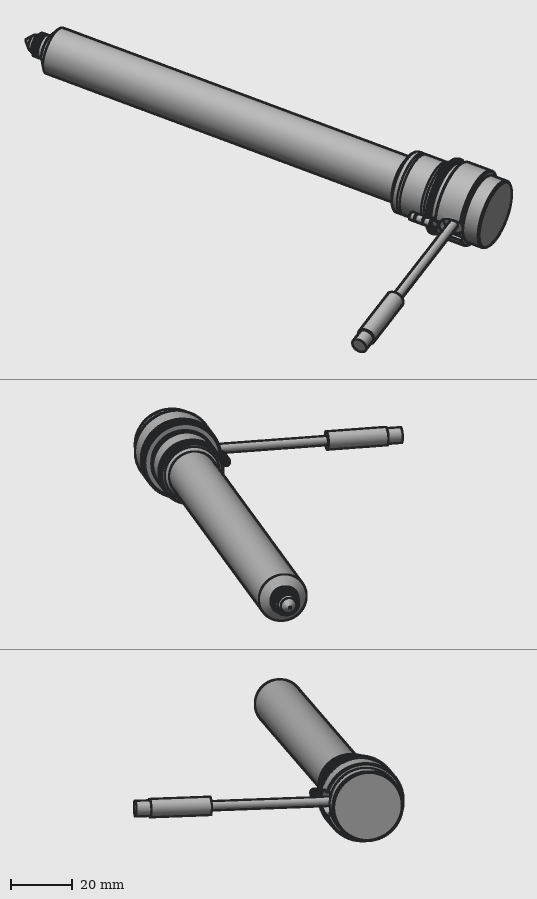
import cadquery as cq


BARREL_RADIUS = 8.0
NOSE_START = 8.1
NOSE_START_RADIUS = 4.7
NOSE_END = 10.5
BARREL_END = 139.0
POINT_RADIUS = 0.3
POINT_END = 2.2
POINT_END_RADIUS = 2.6
TAPER_END = 3.6
TIP_NECK_RADIUS = 6.4 / 2
COLLAR_START = 4.5
COLLAR_RADIUS = 8.1 / 2
COLLAR_GROOVE_STARTS = (4.8, 5.9)
COLLAR_GROOVE_WIDTH = 0.5
COLLAR_GROOVE_DEPTH = 0.2

SLEEVE_START = 140.0
SLEEVE_RADIUS = 10.5
SLEEVE_CHAMFER = 0.5
CONE_END_RADIUS = 9.2
FLANGE_START = 153.8
FLANGE_END = 155.5
HEAD_START = 157.5
HEAD_END = 166.8
HEAD_RADIUS = 13.0
FLANGE_CHAMFER = 0.5
HEAD_CHAMFER = 0.3
NECK_RADIUS = 11.8
SLEEVE_GROOVE_STARTS = (142.2, 151.0)
SLEEVE_GROOVE_WIDTH = 1.0
SLEEVE_GROOVE_DEPTH = 0.09
UNDERCUT_WIDTH = 0.5
UNDERCUT_DEPTH = 0.3

PROBE_LENGTH = 173.0
CAP_RADIUS = 11.6
CAP_CHAMFER = 0.43

LEAD_X = 163.0
CABLE_RADIUS = 1.5
PLUG_START = 50.2
PLUG_RADIUS = 6.0 / 2
PLUG_NOSE_START = 70.0
PLUG_NOSE_RADIUS = 2.6
LEAD_END = 74.9
SLOT_RADIUS = 3.8
SLOT_FLOOR = 10.9
POCKET_FLOOR = 10.0

PIN_OFFSET = 13.3
PIN_RADIUS = 1.4
PIN_START = 148.8
PIN_END = 156.5
PIN_NUB_RADIUS = 0.43
PIN_NUB_LENGTH = 0.3
PIN_CHAMFER = 0.26
PIN_GROOVE_STARTS = (150.7, 153.6)
PIN_GROOVE_WIDTH = 0.3
PIN_GROOVE_DEPTH = 0.2
LUG_END = 158.6
LUG_WIDTH = 2.8
LUG_TOP = 13.1
LUG_FLOOR = 11.8


def turned(profile):
    """Turn a closed (x, radius) outline about the X axis."""
    return cq.Workplane("XY").polyline(profile).close().revolve(360, (0, 0, 0), (1, 0, 0))


def cylinder_x(start, end, radius):
    return cq.Workplane("YZ", origin=(start, 0, 0)).circle(radius).extrude(end - start)


def cylinder_y(start, end, radius):
    """Cylinder on the lead axis, between two distances out from the probe axis."""
    return cq.Workplane("XZ", origin=(LEAD_X, -start, 0)).circle(radius).extrude(end - start)


def ring_groove(start, width, radius, depth):
    """Ring that cuts a groove of the given depth into a cylinder on the X axis."""
    outer = cylinder_x(start, start + width, radius + depth)
    return outer.cut(cylinder_x(start, start + width, radius - depth))


def make_barrel():
    barrel = turned([
        (0, 0),
        (0, POINT_RADIUS),
        (POINT_END, POINT_END_RADIUS),
        (TAPER_END, TIP_NECK_RADIUS),
        (COLLAR_START, TIP_NECK_RADIUS),
        (COLLAR_START, COLLAR_RADIUS),
        (NOSE_START, COLLAR_RADIUS),
        (NOSE_START, NOSE_START_RADIUS),
        (NOSE_END, BARREL_RADIUS),
        (BARREL_END, BARREL_RADIUS),
        (BARREL_END, 0),
    ])
    for start in COLLAR_GROOVE_STARTS:
        barrel = barrel.cut(ring_groove(start, COLLAR_GROOVE_WIDTH, COLLAR_RADIUS, COLLAR_GROOVE_DEPTH))
    return barrel


def rim_disc(start, end, chamfer):
    """Full-width disc with both rims chamfered."""
    return cylinder_x(start, end, HEAD_RADIUS).edges().chamfer(chamfer)


def lead_slot():
    """Round pocket for the cable, with a shallower slot from it to the cap."""
    depth = HEAD_RADIUS - SLOT_FLOOR
    pocket = cylinder_y(POCKET_FLOOR, HEAD_RADIUS, SLOT_RADIUS)
    run = cq.Workplane("XY").box(HEAD_END - LEAD_X, depth, 2 * SLOT_RADIUS, centered=(False, False, True))
    return pocket.union(run.translate((LEAD_X, -HEAD_RADIUS, 0)))


def make_housing():
    housing = turned([
        (BARREL_END, 0),
        (BARREL_END, BARREL_RADIUS),
        (SLEEVE_START, CONE_END_RADIUS),
        (SLEEVE_START, SLEEVE_RADIUS - SLEEVE_CHAMFER),
        (SLEEVE_START + SLEEVE_CHAMFER, SLEEVE_RADIUS),
        (FLANGE_START, SLEEVE_RADIUS),
        (FLANGE_START, NECK_RADIUS),
        (HEAD_START, NECK_RADIUS),
        (HEAD_START, 0),
    ])
    housing = housing.union(rim_disc(FLANGE_START, FLANGE_END, FLANGE_CHAMFER))
    housing = housing.union(rim_disc(HEAD_START, HEAD_END, HEAD_CHAMFER))
    for start in SLEEVE_GROOVE_STARTS:
        housing = housing.cut(ring_groove(start, SLEEVE_GROOVE_WIDTH, SLEEVE_RADIUS, SLEEVE_GROOVE_DEPTH))
    undercut_start = FLANGE_START - UNDERCUT_WIDTH
    housing = housing.cut(ring_groove(undercut_start, UNDERCUT_WIDTH, SLEEVE_RADIUS, UNDERCUT_DEPTH))
    return housing.cut(lead_slot())


def make_cap():
    cap = cylinder_x(HEAD_END, PROBE_LENGTH, CAP_RADIUS)
    return cap.edges().chamfer(CAP_CHAMFER)


def make_lead():
    cable = cylinder_y(POCKET_FLOOR, PLUG_START, CABLE_RADIUS)
    plug = cylinder_y(PLUG_START, PLUG_NOSE_START, PLUG_RADIUS)
    nose = cylinder_y(PLUG_NOSE_START, LEAD_END, PLUG_NOSE_RADIUS)
    return cable.union(plug).union(nose)


def make_pin():
    pin = cylinder_x(PIN_START, PIN_END, PIN_RADIUS).edges().chamfer(PIN_CHAMFER)
    pin = pin.union(cylinder_x(PIN_START - PIN_NUB_LENGTH, PIN_START, PIN_NUB_RADIUS))
    for start in PIN_GROOVE_STARTS:
        pin = pin.cut(ring_groove(start, PIN_GROOVE_WIDTH, PIN_RADIUS, PIN_GROOVE_DEPTH))
    pin = pin.translate((0, -PIN_OFFSET, 0))
    lug = cq.Workplane("XY").box(
        LUG_END - PIN_END, LUG_TOP - LUG_FLOOR, LUG_WIDTH, centered=(False, False, True)
    )
    return pin.union(lug.translate((PIN_END, -LUG_TOP, 0)))


pin = make_pin()
barrel = make_barrel()
housing = make_housing().cut(pin)
cap = make_cap()
lead = make_lead()

result = cq.Compound.makeCompound([barrel.val(), housing.val(), cap.val(), lead.val(), pin.val()])